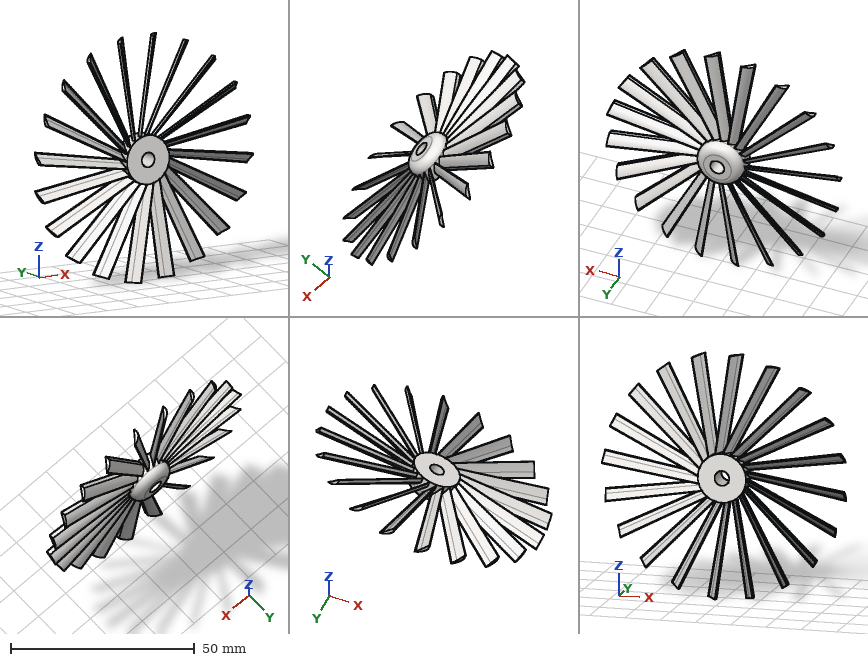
import cadquery as cq

hub_radius = 6.8
hub_depth = 6.8
dome_radius = 2.7
bore_radius = 2.05

blade_count = 20
blade_front = 0.4
blade_back = 3.9
root_height = 5.45
root_left = -2.25
root_width = 2.3
tip_height = 34.15
tip_left = 1.9
tip_width = 3.15

inner_start = 0.08
inner_bend = 0.61
outer_middle = 0.33
outer_end = 0.9
inner_bend_depth = 2.6
outer_bend_depth = 1.7
outer_middle_depth = 2.95


def make_hub():
    """Disc with a rounded back edge and a through bore."""
    disc = cq.Workplane("XZ").circle(hub_radius).extrude(-hub_depth)
    disc = disc.faces(">Y").edges().fillet(dome_radius)
    bore = cq.Workplane("XZ").circle(bore_radius).extrude(-hub_depth)
    return disc.cut(bore)


def crescent(height, left, width):
    """Blade cross-section in a plane of constant Z."""
    def point(fraction, depth):
        return (left + fraction * width, depth)

    return (
        cq.Workplane("XY", origin=(0, 0, height))
        .moveTo(*point(0, blade_front))
        .lineTo(*point(inner_start, blade_front))
        .lineTo(*point(inner_bend, inner_bend_depth))
        .lineTo(*point(1, blade_back))
        .lineTo(*point(outer_end, blade_back))
        .threePointArc(point(outer_middle, outer_middle_depth), point(0, outer_bend_depth))
        .close()
        .val()
    )


def make_blade():
    """Straight-sided loft from the root section to the tip section."""
    root = crescent(root_height, root_left, root_width)
    tip = crescent(tip_height, tip_left, tip_width)
    return cq.Workplane(obj=cq.Solid.makeLoft([root, tip], True))


result = make_hub()
blade = make_blade()
for index in range(blade_count):
    angle = index * 360 / blade_count
    result = result.union(blade.rotate((0, 0, 0), (0, 1, 0), angle))